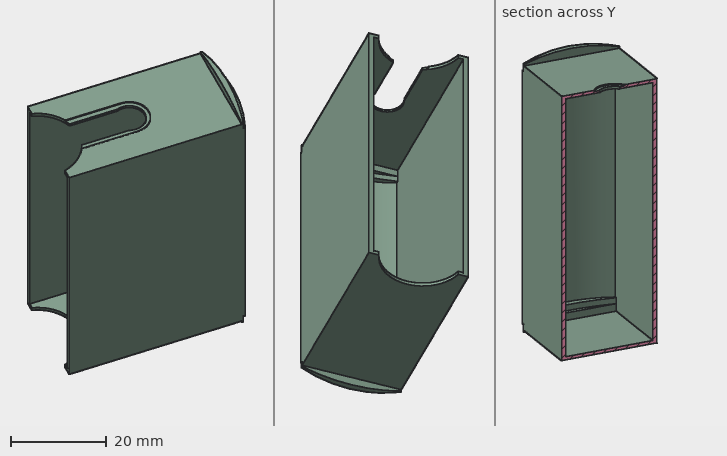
import cadquery as cq

width = 22.2
depth = 42.05
height = 64.0
body_height = 60.0
side_wall = 1.1
end_wall = 0.8

back_wall = 1.0
flange_front = 39.2
flange_corner = 39.55
flange_apex = 40.6
flange_corner_height = 60.7
cap_corner = 40.0
cap_height = 57.35
flange_recess_height = 54.9
cap_recess_height = 52.2

notch_depth = 6.8
notch_width = 17.7

slot_center = 18.4
slot_radius = 3.5
slot_width = 6.5
ledge_width = 8.8
ledge_depth = 0.25

inner_width = width - 2 * side_wall
inner_height = body_height - 2 * end_wall
cavity_depth = flange_corner - back_wall


def centered_box(size_x, size_y, size_z):
    """Box starting at Y = 0 and centered on X and Z."""
    return cq.Workplane("XY").box(size_x, size_y, size_z, centered=(True, False, True))


def bowed_block(block_width, front, corner, apex, block_height):
    """Block with a flat front and a rear face bowed across X."""
    half = block_width / 2
    return (
        cq.Workplane("XY", origin=(0, 0, -block_height / 2))
        .moveTo(-half, front)
        .lineTo(half, front)
        .lineTo(half, corner)
        .threePointArc((0, apex), (-half, corner))
        .close()
        .extrude(block_height)
    )


def flange():
    """Bowed plate whose top and bottom edges also arch outward."""
    half = width / 2
    corner_z = flange_corner_height / 2
    outline = (
        cq.Workplane("XZ")
        .moveTo(-half, -corner_z)
        .threePointArc((0, -height / 2), (half, -corner_z))
        .lineTo(half, corner_z)
        .threePointArc((0, height / 2), (-half, corner_z))
        .close()
        .extrude(-depth)
    )
    return outline.intersect(bowed_block(width, flange_front, flange_corner, flange_apex, height))


def keyhole(radius, neck_width, floor):
    """Round end and straight neck running to the front, cut down to Z = floor."""
    cut_height = height / 2 - floor
    plane = cq.Workplane("XY", origin=(0, 0, floor))
    round_end = plane.center(0, slot_center).circle(radius).extrude(cut_height)
    neck = plane.rect(neck_width, 2 * slot_center).extrude(cut_height)
    return round_end.union(neck)


def front_notch():
    """Vertical cylinder that scoops the front edges."""
    radius = ((notch_width / 2) ** 2 + notch_depth**2) / (2 * notch_depth)
    center_y = notch_depth - radius
    return (
        cq.Workplane("XY", origin=(0, center_y, -height / 2))
        .circle(radius)
        .extrude(height)
        .intersect(centered_box(inner_width, depth, height))
    )


result = centered_box(width, flange_front, body_height).union(flange())
result = result.union(bowed_block(width, flange_front, cap_corner, depth, cap_height))

result = result.cut(centered_box(inner_width, cavity_depth, inner_height))
for recess_corner, recess_apex, recess_height in (
    (flange_corner, flange_apex, flange_recess_height),
    (cap_corner, depth, cap_recess_height),
):
    result = result.cut(
        bowed_block(
            inner_width,
            cavity_depth - back_wall,
            recess_corner - back_wall,
            recess_apex - back_wall,
            recess_height,
        )
    )

top = body_height / 2
result = result.cut(keyhole(slot_radius, slot_width, top - 2 * end_wall))
result = result.cut(keyhole(ledge_width / 2, ledge_width, top - ledge_depth))
result = result.cut(front_notch())